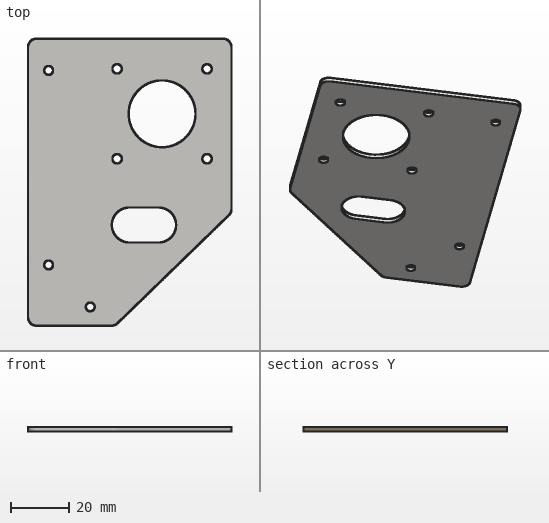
import cadquery as cq

width = 70.2
length = 99
thickness = 1.7
corner_radius = 3
bottom_edge = 30.0
right_edge_start = 39.0

motor_x = 46.2
motor_y = 73.1
motor_bore = 23.0
motor_screw_spacing = 31.0
motor_screw_diameter = 3.2

mount_diameter = 3
mount_left = 7.1
mount_positions = [
    (mount_left, 88.0),
    (mount_left, 21.0),
    (21.5, 6.5),
]

slot_x = 40.0
slot_y = 34.7
slot_length = 22.1
slot_width = 12.0


def make_plate():
    """Rectangular plate with one corner cut off and all corners rounded."""
    outline = [
        (0, 0),
        (bottom_edge, 0),
        (width, right_edge_start),
        (width, length),
        (0, length),
    ]
    plate = cq.Workplane("XY").polyline(outline).close().extrude(thickness)
    return plate.edges("|Z").fillet(corner_radius)


def through_holes(positions, diameter):
    """Cylinders that cut round holes through the plate."""
    return cq.Workplane("XY").pushPoints(positions).circle(diameter / 2).extrude(thickness)


half_spacing = motor_screw_spacing / 2
motor_screw_positions = [
    (motor_x + side_x * half_spacing, motor_y + side_y * half_spacing)
    for side_x in (-1, 1)
    for side_y in (-1, 1)
]

slot = cq.Workplane("XY").center(slot_x, slot_y).slot2D(slot_length, slot_width).extrude(thickness)

result = (
    make_plate()
    .cut(through_holes([(motor_x, motor_y)], motor_bore))
    .cut(through_holes(motor_screw_positions, motor_screw_diameter))
    .cut(through_holes(mount_positions, mount_diameter))
    .cut(slot)
)